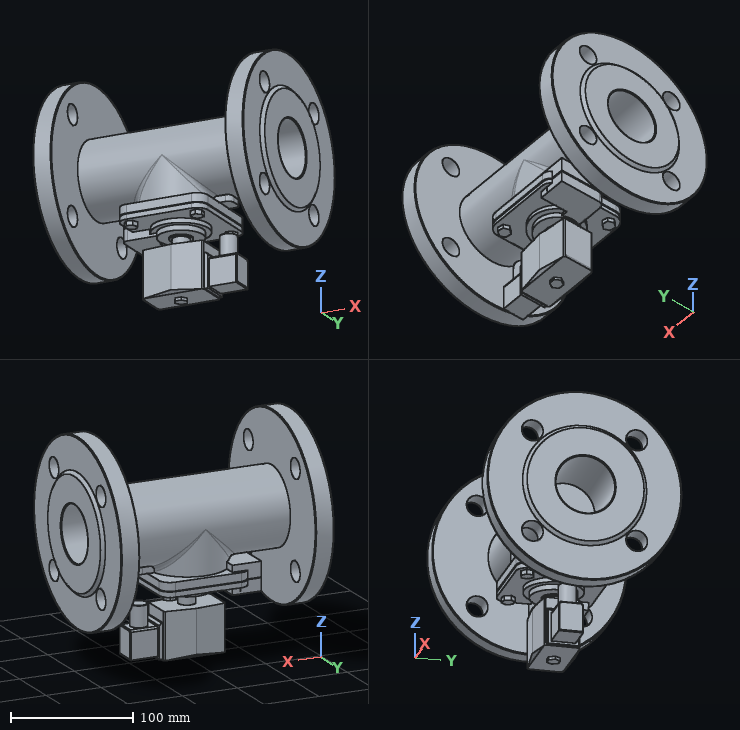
import cadquery as cq
import math


length = 200.0
pipe_dia = 70.0
bore_dia = 50.0
bore_chamfer = 0.8
flange_dia = 165.0
flange_thickness = 17.0
flange_chamfer = 0.8
raised_face_height = 3.0
raised_face_dia = 99.2
raised_face_base_dia = 105.2
bolt_circle_dia = 125.0
bolt_hole_dia = 18.0
bolt_count = 4

actuator_x = -2.5
branch_height = 40.0
branch_fillet = 4.8
plate_size = 80.0
plate_corner_radius = 10.0
body_plate_thickness = 8.0
bonnet_plate_thickness = 5.0
joint_gap = 0.5
joint_inset = 0.5

screw_spacing = 60.8
screw_across_flats = 10.0
screw_head_height = 4.0
screw_twist = 10.0
hex_corner_ratio = 2 / math.sqrt(3)

bonnet_dia = 50.0
bonnet_height = 4.0
neck_dia = 40.0
neck_height = 4.8
collar_dia = 20.0
collar_height = 1.0
stem_dia = 15.0

pilot_length = 101.0
pilot_width = 18.0
pilot_thickness = 6.0
pilot_corner_radius = 5.5
pilot_leg_length = 26.5
pilot_leg_reach = 36.0
pilot_leg_height = 25.8
pilot_tongue_height = 2.5

overall_height = 200.0
coil_length = 56.8
coil_ridge_width = 36.5
coil_shoulder_width = 30.5
coil_end_width = 26.8
coil_corner = 1.5
coil_height = 42.2
coil_bevel_height = 2.5
coil_end_flare = 0.5
nut_across_flats = 10.0
nut_height = 2.5

mount_thickness = 3.0
mount_width = 26.0
mount_height = 31.5
mount_bottom_gap = 0.8
mount_chamfer = 2.2
connector_length = 25.2
connector_width = 20.8
connector_height = 25.8
connector_bottom_gap = 2.8
connector_top_chamfer = 1.5
connector_end_chamfer = 0.8
gland_dia = 15.0
gland_height = 19.2
gland_offset = 12.5
gland_chamfer = 0.5

pipe_radius = pipe_dia / 2
plate_top = -branch_height
joint_z = plate_top - body_plate_thickness
plate_bottom = joint_z - bonnet_plate_thickness
pilot_left = actuator_x - pilot_length / 2
leg_right = pilot_left + pilot_leg_length
pilot_top = plate_top + pilot_thickness
leg_bottom = pilot_top - pilot_leg_height
nut_bottom = flange_dia / 2 - overall_height
coil_bottom = nut_bottom + nut_height
coil_top = coil_bottom + coil_height
coil_end_x = actuator_x + coil_length / 2
bore_depth = (length - pipe_dia) / 2


def post(x, y, diameter, z_top, height):
    """Vertical cylinder reaching down from z_top."""
    return cq.Workplane("XY", origin=(x, y, z_top)).circle(diameter / 2).extrude(-height)


def block(x_min, x_max, y_min, y_max, z_min, z_max):
    """Box given by its limits along each axis."""
    box = cq.Workplane("XY").box(x_max - x_min, y_max - y_min, z_max - z_min, centered=False)
    return box.translate((x_min, y_min, z_min))


def hexagon(x, y, across_flats, z_top, height, twist=0):
    """Vertical hexagonal prism with corners on X, turned by twist degrees."""
    prism = cq.Workplane("XY").polygon(6, across_flats * hex_corner_ratio).extrude(-height)
    return prism.rotate((0, 0, 0), (0, 0, 1), twist).translate((x, y, z_top))


def body():
    """Pipe run with the filleted branch of equal diameter."""
    pipe_length = length - 2 * raised_face_height
    pipe = cq.Workplane("YZ", origin=(-pipe_length / 2, 0, 0)).circle(pipe_radius).extrude(pipe_length)
    branch = post(0, 0, pipe_dia, 0, branch_height).rotate((0, 0, 0), (0, 0, 1), 90)
    tee = pipe.union(branch.translate((actuator_x, 0, 0)))
    return tee.edges("%ELLIPSE").fillet(branch_fillet)


def end_flange():
    """Flange with its raised face on the -X end of the run, drilled for bolts."""
    back_x = raised_face_height + flange_thickness
    radius = flange_dia / 2
    profile = [
        (0, 0),
        (0, raised_face_dia / 2),
        (raised_face_height, raised_face_base_dia / 2),
        (raised_face_height, radius - flange_chamfer),
        (raised_face_height + flange_chamfer, radius),
        (back_x - flange_chamfer, radius),
        (back_x, radius - flange_chamfer),
        (back_x, 0),
    ]
    flange = cq.Workplane("XY").polyline(profile).close().revolve(360, (0, 0, 0), (1, 0, 0))
    holes = (
        cq.Workplane("YZ")
        .polarArray(bolt_circle_dia / 2, 180 / bolt_count, 360, bolt_count)
        .circle(bolt_hole_dia / 2)
        .extrude(back_x)
    )
    return flange.cut(holes).translate((-length / 2, 0, 0))


def end_bore():
    """Blind bore with a chamfered mouth, entering from the -X end."""
    radius = bore_dia / 2
    profile = [
        (0, 0),
        (0, radius + bore_chamfer),
        (bore_chamfer, radius),
        (bore_depth, radius),
        (bore_depth, 0),
    ]
    bore = cq.Workplane("XY").polyline(profile).close().revolve(360, (0, 0, 0), (1, 0, 0))
    return bore.translate((-length / 2, 0, 0))


def jointed_stack(z_top, z_bottom, layer):
    """Stack of layer(inset, z_top, height) solids, set back along the joint between the plates."""
    groove_top = joint_z + joint_gap / 2
    groove_bottom = joint_z - joint_gap / 2
    upper = layer(0, z_top, z_top - groove_top)
    gasket = layer(joint_inset, groove_top, joint_gap)
    lower = layer(0, groove_bottom, groove_bottom - z_bottom)
    return upper.union(gasket).union(lower)


def plate_layer(inset, z_top, height):
    """Square layer with rounded corners on the actuator axis."""
    size = plate_size - 2 * inset
    layer = cq.Workplane("XY", origin=(actuator_x, 0, z_top)).rect(size, size).extrude(-height)
    return layer.edges("|Z").fillet(plate_corner_radius - inset)


def leg_layer(inset, z_top, height):
    """Layer of the pilot leg, rounded at its outer front corner."""
    left = pilot_left + inset
    front = -pilot_width / 2 + inset
    layer = block(left, leg_right, front, pilot_leg_reach - inset, z_top - height, z_top)
    return layer.edges("|Z and <X and <Y").fillet(pilot_corner_radius - inset)


def bonnet():
    """Two plates with a gasket between them, their screws and the turned steps down to the coil."""
    solid = jointed_stack(plate_top, plate_bottom, plate_layer)
    offset = screw_spacing / 2
    screw = hexagon(offset, offset, screw_across_flats, plate_bottom, screw_head_height, screw_twist)
    for quarter in range(4):
        turned = screw.rotate((0, 0, 0), (0, 0, 1), 90 * quarter)
        solid = solid.union(turned.translate((actuator_x, 0, 0)))
    z_top = plate_bottom
    steps = [(bonnet_dia, bonnet_height), (neck_dia, neck_height), (collar_dia, collar_height)]
    for diameter, height in steps:
        solid = solid.union(post(actuator_x, 0, diameter, z_top, height))
        z_top -= height
    return solid.union(post(actuator_x, 0, stem_dia, z_top, z_top - coil_top))


def pilot():
    """Bar across the branch foot, with a leg past the plates and a tongue into the neck."""
    front = -pilot_width / 2
    bar = block(leg_right, pilot_left + pilot_length, front, -front, plate_top, pilot_top)
    bar = bar.edges("|Z and >X").fillet(pilot_corner_radius)
    leg = jointed_stack(pilot_top, leg_bottom, leg_layer)
    tongue = block(leg_right, actuator_x, front, -front, leg_bottom, leg_bottom + pilot_tongue_height)
    return bar.union(leg).union(tongue)


def coil():
    """Coil whose long sides rise to a shallow ridge, bevelled under the sides and flared at the ends."""
    half_length = coil_length / 2
    shoulder_x = half_length - coil_corner
    half_outline = [
        (half_length, coil_end_width / 2),
        (shoulder_x, coil_shoulder_width / 2),
        (0, coil_ridge_width / 2),
        (-shoulder_x, coil_shoulder_width / 2),
        (-half_length, coil_end_width / 2),
    ]
    other_half = [(-x, -y) for x, y in half_outline]
    prism = cq.Workplane("XY").polyline(half_outline + other_half).close().extrude(coil_height)

    foot = coil_shoulder_width / 2
    side = coil_ridge_width / 2
    side_profile = [
        (-foot, 0),
        (foot, 0),
        (side, coil_bevel_height),
        (side, coil_height),
        (-side, coil_height),
        (-side, coil_bevel_height),
    ]
    bevelled_sides = cq.Workplane("YZ").polyline(side_profile).close().extrude(half_length, both=True)

    waist = half_length - coil_end_flare
    end_profile = [
        (-half_length, 0),
        (half_length, 0),
        (waist, coil_bevel_height),
        (waist, coil_height),
        (-waist, coil_height),
        (-waist, coil_bevel_height),
    ]
    flared_ends = cq.Workplane("XZ").polyline(end_profile).close().extrude(side, both=True)
    nut = hexagon(0, 0, nut_across_flats, 0, nut_height)
    solid = prism.intersect(bevelled_sides).intersect(flared_ends).union(nut)
    return solid.translate((actuator_x, 0, coil_bottom))


def connector():
    """Mounting pad, plug housing and upright cable gland on the +X end of the coil."""
    pad_x = coil_end_x + mount_thickness
    pad_bottom = coil_bottom + mount_bottom_gap
    half_pad = mount_width / 2
    pad = block(coil_end_x - coil_end_flare, pad_x, -half_pad, half_pad, pad_bottom, pad_bottom + mount_height)
    pad = pad.edges("|Y and >X and >Z").chamfer(mount_chamfer)

    housing_bottom = coil_bottom + connector_bottom_gap
    housing_top = housing_bottom + connector_height
    half_housing = connector_width / 2
    housing = block(
        pad_x, pad_x + connector_length, -half_housing, half_housing, housing_bottom, housing_top
    )
    housing = housing.edges("|X and >Z").chamfer(connector_top_chamfer)
    housing = housing.faces(">X").edges().chamfer(connector_end_chamfer)
    gland = post(pad_x + gland_offset, 0, gland_dia, housing_top + gland_height, gland_height)
    gland = gland.faces(">Z").chamfer(gland_chamfer)
    return pad.union(housing).union(gland)


flange = end_flange()
result = body()
result = result.union(flange).union(flange.mirror("YZ"))
for part in (bonnet(), pilot(), coil(), connector()):
    result = result.union(part)
bore = end_bore()
result = result.cut(bore).cut(bore.mirror("YZ"))